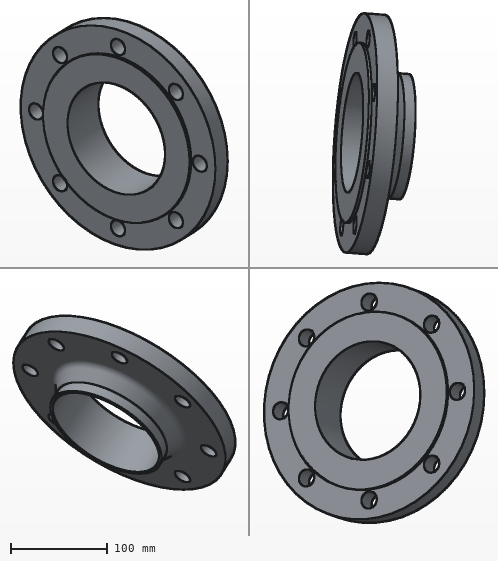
import cadquery as cq

flange_diameter = 250.0
total_length = 55.0
face_diameter = 188.0
face_height = 3.0
flange_back = 25.0
bore_diameter = 125.0

neck_diameter = 131.0
neck_straight_length = 12.0
cone_base_diameter = 150.0
root_fillet_radius = 8.0

bolt_circle_diameter = 210.0
bolt_hole_diameter = 18.0
bolt_count = 8


def cylinder(diameter, start, end):
    """Solid cylinder about the Y axis between two Y positions."""
    return cq.Workplane("XZ", origin=(0, start, 0)).circle(diameter / 2).extrude(start - end)


def flange_with_neck():
    """Plate and tapered neck, blended where the taper meets the plate."""
    neck_start = total_length - neck_straight_length
    profile = (
        cq.Workplane("XY")
        .moveTo(0, face_height)
        .lineTo(flange_diameter / 2, face_height)
        .lineTo(flange_diameter / 2, flange_back)
        .lineTo(cone_base_diameter / 2, flange_back)
        .lineTo(neck_diameter / 2, neck_start)
        .lineTo(neck_diameter / 2, total_length)
        .lineTo(0, total_length)
        .close()
    )
    body = profile.revolve(360, (0, 0, 0), (0, 1, 0))
    root_reach = cone_base_diameter / 2 + root_fillet_radius
    root_edge = cq.selectors.BoxSelector(
        (-root_reach, flange_back - face_height, -root_reach),
        (root_reach, flange_back + face_height, root_reach),
        boundingbox=True,
    )
    return body.edges("%CIRCLE").edges(root_edge).fillet(root_fillet_radius)


def bolt_holes():
    """Through holes evenly spaced on the bolt circle."""
    return (
        cq.Workplane("XZ")
        .polarArray(bolt_circle_diameter / 2, 0, 360, bolt_count)
        .circle(bolt_hole_diameter / 2)
        .extrude(-flange_back)
    )


raised_face = cylinder(face_diameter, 0, face_height)
bore = cylinder(bore_diameter, 0, total_length)
result = flange_with_neck().union(raised_face).cut(bore).cut(bolt_holes())